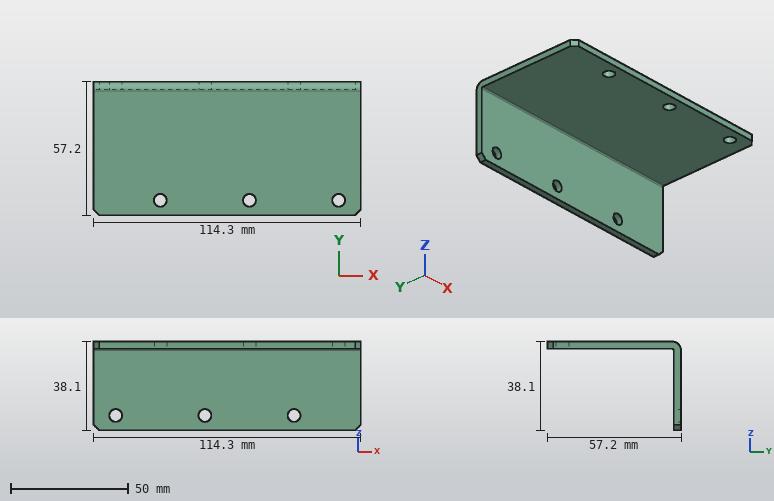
import cadquery as cq

length = 114.3
depth = 57.2
height = 38.1
thickness = 3.2

inner_bend_radius = 0.7
outer_bend_radius = inner_bend_radius + thickness

corner_cut = 2.5
hole_diameter = 5.4
hole_edge_distance = 6.4
hole_pitch = length / 3
back_first_hole = length / 12
top_first_hole = length / 4
hole_count = 3


def make_angle():
    """L-section in the YZ plane, with the outer bend edge at Y = depth, Z = height."""
    profile = (
        cq.Workplane("YZ")
        .moveTo(0, height)
        .lineTo(depth, height)
        .lineTo(depth, 0)
        .lineTo(depth - thickness, 0)
        .lineTo(depth - thickness, height - thickness)
        .lineTo(0, height - thickness)
        .close()
    )
    angle = profile.extrude(length)
    middle = length / 2
    outer_edge = cq.selectors.NearestToPointSelector((middle, depth, height))
    inner_edge = cq.selectors.NearestToPointSelector((middle, depth - thickness, height - thickness))
    angle = angle.edges("|X").edges(outer_edge).fillet(outer_bend_radius)
    return angle.edges("|X").edges(inner_edge).fillet(inner_bend_radius)


def clip_corners(angle):
    """Cut the two free corners of each plate at 45 degrees."""
    angle = angle.faces("<Y").edges("|Z").chamfer(corner_cut)
    return angle.faces("<Z").edges("|Y").chamfer(corner_cut)


def hole_row(plane, first_hole, drill_length):
    """Row of drills along X, starting on the given plane at the edge distance."""
    centers = [(first_hole + i * hole_pitch, hole_edge_distance) for i in range(hole_count)]
    return cq.Workplane(plane).pushPoints(centers).circle(hole_diameter / 2).extrude(drill_length)


bracket = clip_corners(make_angle())
top_holes = hole_row("XY", top_first_hole, height)
back_holes = hole_row("XZ", back_first_hole, -depth)

result = bracket.cut(top_holes).cut(back_holes)